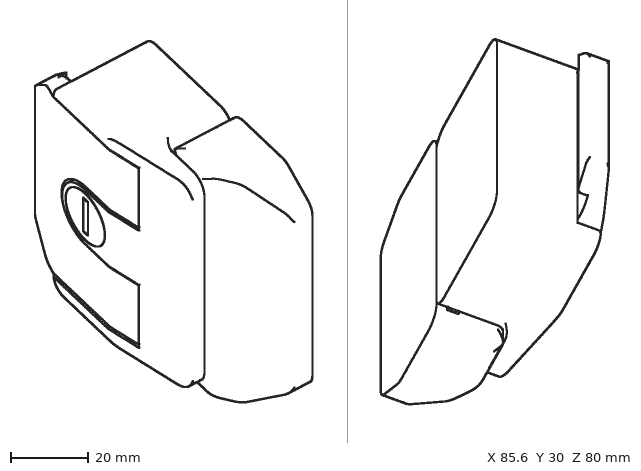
import cadquery as cq
import math


corner_radius = 5.0
root_radius = 3.0
lip_radius = 1.0

cover_left = -30.05
cover_right = 22.8
cover_half_height = 37.5
cover_depth = 30.0
cover_bend_x = -5.5
front_slope = math.tan(math.radians(12))
end_lip_radius = 0.6

base_left = 7.9
base_right = 42.8
base_half_height = 40.0
base_depth = 20.0
base_end_depth = 6.25
base_slope_angle = 35
base_chamfer_length = 11.6
base_edge_radius = 2.5
base_tip_radius = 2.05
base_bend_radius = 6.0

rib_left = 7.0
rib_near_depth = 3.0
rib_width = 3.25
rib_offset = rib_left - (base_left - corner_radius)
rib_half_height = cover_half_height - corner_radius + math.sqrt(corner_radius**2 - rib_offset**2)

seat_half_height = 32.9
seat_depth = 7.0
seat_right = 4.8
seat_floor = cover_depth - seat_depth
latch_left = -42.8
latch_gap = 1.3
latch_height = 2 * seat_half_height - latch_gap
latch_center_z = latch_gap / 2
latch_chamfer = 8.8
latch_bend_x = -4.9
latch_nose_x = -29.5
nose_slope = math.tan(math.radians(16))
hook_width = 6.3
hook_depth = 19.95

boss_x = -15.6
boss_radius = 9.9
notch_shift = 0.25
notch_lift = 0.6
notch_radius = boss_radius + notch_lift

lock_diameter = 17.0
slot_width = 2.05
slot_height = 12.15
mark_depth = 0.1


def plan_prism(points, half_height):
    """Solid from an outline of (x, depth) points, extruded to both sides of z = 0."""
    outline = [(x, -depth) for x, depth in points]
    return cq.Workplane("XY").polyline(outline).close().extrude(half_height, both=True)


def box_between(x_range, depth_range, z_range):
    """Box between two x values, two depths and two z values."""
    size = (x_range[1] - x_range[0], depth_range[1] - depth_range[0], z_range[1] - z_range[0])
    corner = (x_range[0], -depth_range[1], z_range[0])
    return cq.Workplane("XY").box(*size, centered=False).translate(corner)


def edges_at(body, direction, x, depth):
    """Edges parallel to the given axis whose midpoint lies at the given x and depth."""
    reach = 0.01
    near = cq.selectors.BoxSelector(
        (x - reach, -depth - reach, -base_half_height),
        (x + reach, -depth + reach, base_half_height),
    )
    return body.edges("|" + direction).edges(near)


def tongue(center_x, center_z, radius, right, depth_range):
    """Bar along X with a round left end, between two depths."""
    straight = box_between(
        (center_x, right), depth_range, (center_z - radius, center_z + radius)
    )
    round_end = (
        cq.Workplane("XZ", origin=(center_x, -depth_range[0], center_z))
        .circle(radius)
        .extrude(depth_range[1] - depth_range[0])
    )
    return straight.union(round_end)


def hinge_rib():
    """Rib that joins the left face of the base and enters the cover."""
    depth_range = (rib_near_depth, rib_near_depth + rib_width)
    return box_between((rib_left, base_left), depth_range, (-rib_half_height, rib_half_height))


def cover_front():
    """Rounded block with rounded front edges and a sloping front, still solid at the back."""
    block = box_between(
        (cover_left, cover_right), (0, cover_depth), (-cover_half_height, cover_half_height)
    )
    block = block.edges("|Y").fillet(corner_radius)
    block = block.faces("<Y").edges().fillet(lip_radius)

    end_depth = cover_depth - (cover_right - cover_bend_x) * front_slope
    profile = plan_prism(
        [
            (cover_left, 0),
            (cover_right, 0),
            (cover_right, end_depth),
            (cover_bend_x, cover_depth),
            (cover_left, cover_depth),
        ],
        base_half_height,
    )
    profile = edges_at(profile, "Z", cover_right, end_depth).fillet(end_lip_radius)
    return block.intersect(profile)


def cover_step():
    """Cutter for the room of the base, around a wall with rounded ends and a flared foot."""
    axis_x = base_left - corner_radius
    axis_z = cover_half_height - corner_radius
    arc_reach = root_radius * (1 - math.sqrt(0.5))
    section = (
        cq.Workplane("XY")
        .moveTo(axis_x, 0)
        .lineTo(base_left, 0)
        .lineTo(base_left, root_radius - base_depth)
        .threePointArc(
            (base_left + arc_reach, arc_reach - base_depth), (base_left + root_radius, -base_depth)
        )
        .lineTo(axis_x, -base_depth)
        .close()
    )
    wall = section.extrude(axis_z, both=True)
    wall_end = section.toPending().revolve(360, (axis_x, 0, 0), (axis_x, 1, 0))
    room = box_between((axis_x, cover_right), (0, base_depth), (-base_half_height, base_half_height))
    for z in (-axis_z, axis_z):
        room = room.cut(wall_end.translate((0, 0, z)))
    return room.cut(wall)


def cover_block():
    """Cover without the seat of the latch."""
    return cover_front().cut(cover_step())


def boss():
    """Bar with a round left end that fills the notch of the latch."""
    return tongue(boss_x, 0, boss_radius, seat_right, (seat_floor, cover_depth))


def lock_mark():
    """Shallow disc and the slot sunk into it, as a cutter for the front of the boss."""
    face = cq.Workplane("XZ", origin=(boss_x, -cover_depth, 0))
    disc = face.circle(lock_diameter / 2).extrude(-mark_depth)
    slot = face.rect(slot_width, slot_height).extrude(-2 * mark_depth)
    return disc.union(slot)


def make_cover():
    """Cover with the seat of the latch around the boss, the lock mark and the hinge slot."""
    seat = box_between(
        (cover_left, seat_right), (seat_floor, cover_depth), (-seat_half_height, seat_half_height)
    )
    return cover_block().cut(seat.cut(boss())).cut(lock_mark()).cut(hinge_rib())


def make_base():
    """Base behind the cover: the common part of a plan, a front and a side outline, plus the rib."""
    bend_x = base_right - (base_depth - base_end_depth) / math.tan(math.radians(base_slope_angle))
    plan = plan_prism(
        [
            (base_left, 0),
            (base_right, 0),
            (base_right, base_end_depth),
            (bend_x, base_depth),
            (base_left, base_depth),
        ],
        base_half_height,
    )
    plan = edges_at(plan, "Z", base_left, base_depth).fillet(root_radius)
    plan = edges_at(plan, "Z", bend_x, base_depth).fillet(base_bend_radius)
    plan = edges_at(plan, "Z", base_right, base_end_depth).fillet(base_tip_radius)

    block = box_between(
        (base_left, base_right), (0, base_depth), (-base_half_height, base_half_height)
    )
    side = block.edges("|X and <Y").fillet(base_edge_radius)

    chamfer_height = base_chamfer_length * math.tan(math.radians(base_slope_angle))
    front = block.edges("|Y and >X").chamfer(chamfer_height, base_chamfer_length)
    front = front.edges("|Y").fillet(corner_radius)
    return plan.intersect(side).intersect(front).union(hinge_rib())


def make_latch():
    """Latch plate with a hooked left end, a bent front and a notch around the boss."""
    nose_depth = cover_depth - (latch_nose_x - latch_left) * nose_slope
    right_depth = cover_depth - (seat_right - latch_bend_x) * front_slope
    hook_right = latch_left + hook_width
    plate = plan_prism(
        [
            (latch_left, hook_depth),
            (hook_right, hook_depth),
            (hook_right, seat_floor),
            (seat_right, seat_floor),
            (seat_right, right_depth),
            (latch_bend_x, cover_depth),
            (latch_nose_x, cover_depth),
            (latch_left, nose_depth),
        ],
        base_half_height,
    )
    for x, depth in [(latch_left, hook_depth), (hook_right, hook_depth), (latch_left, nose_depth)]:
        plate = edges_at(plate, "Z", x, depth).fillet(lip_radius)

    outline = box_between(
        (latch_left, seat_right), (0, cover_depth), (-latch_height / 2, latch_height / 2)
    )
    outline = outline.edges("|Y and <X").chamfer(latch_chamfer)
    outline = outline.edges("|Y").edges(
        cq.selectors.BoxSelector(
            (latch_left - 0.85, -cover_depth, -latch_height),
            (latch_left + latch_chamfer + 0.85, 0, latch_height),
        )
    ).fillet(corner_radius)
    outline = outline.translate((0, 0, latch_center_z))

    notch = tongue(
        boss_x + notch_shift, notch_lift, notch_radius, seat_right, (seat_floor, cover_depth)
    )
    return plate.intersect(outline).cut(notch).cut(boss())


cover = make_cover()
base = make_base()
latch = make_latch()

result = cq.Compound.makeCompound([cover.val(), base.val(), latch.val()])